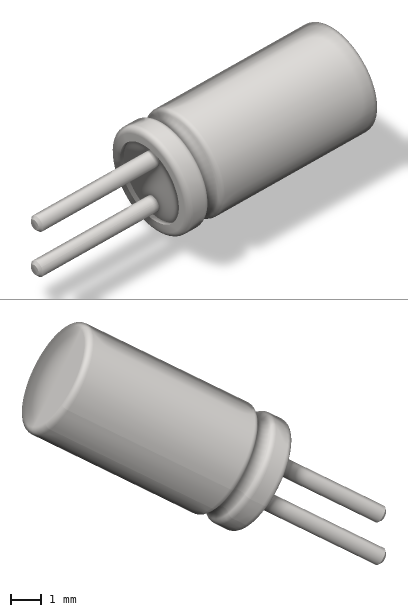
import cadquery as cq
import math

can_diameter = 4.0
can_length = 8.0
can_radius = can_diameter / 2
edge_radius = 0.2

groove_center_y = 1.1
groove_depth = 0.25
groove_half_width = 0.41

recess_diameter = 3.0
recess_depth = 0.17

pin_diameter = 0.6
pin_length = 4.8
pin_spacing = can_diameter / 2
pin_tip_chamfer = 0.1

mark_angle = 30.0

groove_arc_radius = (
    groove_half_width**2 + (edge_radius - groove_depth) ** 2 - edge_radius**2
) / (2 * groove_depth)
groove_blend_angle = math.asin(groove_half_width / (groove_arc_radius + edge_radius))


def blend_point(angle, side):
    """Point on a groove edge blend, at an angle from the radial direction; side is -1 or 1 along Y."""
    center_x = can_radius - edge_radius
    center_y = groove_center_y + side * groove_half_width
    return (center_x + edge_radius * math.cos(angle), center_y - side * edge_radius * math.sin(angle))


def make_can():
    """Revolved can with rounded ends, a rolled groove and a recessed rim."""
    inner_radius = can_radius - edge_radius
    arc_middle = edge_radius * math.sqrt(0.5)
    waist = (can_radius - groove_depth, groove_center_y)
    profile = (
        cq.Workplane("XY")
        .moveTo(0, recess_depth)
        .lineTo(recess_diameter / 2, recess_depth)
        .lineTo(recess_diameter / 2, 0)
        .lineTo(inner_radius, 0)
        .threePointArc((inner_radius + arc_middle, edge_radius - arc_middle), (can_radius, edge_radius))
        .lineTo(*blend_point(0, -1))
        .threePointArc(blend_point(groove_blend_angle / 2, -1), blend_point(groove_blend_angle, -1))
        .threePointArc(waist, blend_point(groove_blend_angle, 1))
        .threePointArc(blend_point(groove_blend_angle / 2, 1), blend_point(0, 1))
        .lineTo(can_radius, can_length - edge_radius)
        .threePointArc(
            (inner_radius + arc_middle, can_length - edge_radius + arc_middle),
            (inner_radius, can_length),
        )
        .lineTo(0, can_length)
        .close()
    )
    return profile.revolve(360, (0, 0, 0), (0, 1, 0))


def make_pin(center_z):
    """Round lead from the recess floor to its chamfered tip."""
    return (
        cq.Workplane("XZ", origin=(0, recess_depth, 0))
        .center(0, center_z)
        .circle(pin_diameter / 2)
        .extrude(pin_length + recess_depth)
        .faces("<Y")
        .edges()
        .chamfer(pin_tip_chamfer)
    )


def make_capacitor():
    """Can with its two leads, before the polarity mark is divided off."""
    capacitor = make_can()
    for side in (-1, 1):
        capacitor = capacitor.union(make_pin(side * pin_spacing / 2))
    return capacitor


def make_sector():
    """Wedge from the can axis that spans the full length and reaches past the can wall."""
    half_width = can_diameter * math.tan(math.radians(mark_angle / 2))
    return (
        cq.Workplane("XZ", origin=(0, can_length, 0))
        .polyline([(0, 0), (-half_width, -can_diameter), (half_width, -can_diameter)])
        .close()
        .extrude(can_length + pin_length)
    )


def make_body(capacitor):
    """Everything outside the polarity sector."""
    return capacitor.cut(make_sector())


def make_polarity_mark(capacitor):
    """The sector of the can, with the part of the lower lead inside it."""
    return capacitor.intersect(make_sector())


whole_capacitor = make_capacitor()
body = make_body(whole_capacitor)
polarity_mark = make_polarity_mark(whole_capacitor)

result = cq.Compound.makeCompound([*body.solids().vals(), *polarity_mark.solids().vals()])